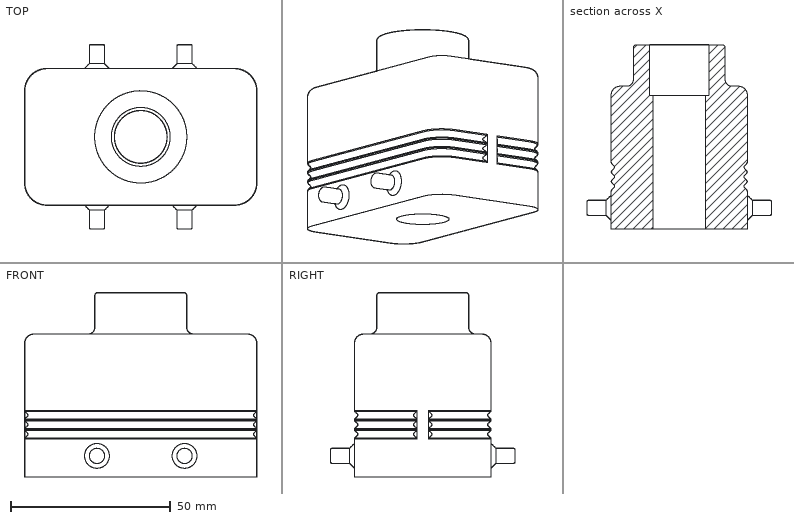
import math

import cadquery as cq

BODY_LENGTH = 73.0
BODY_WIDTH = 43.0
BODY_HEIGHT = 45.0
CORNER_RADIUS = 7.0
ROOF_EDGE_RADIUS = 3.0

TOTAL_HEIGHT = 58.0
COLLAR_HEIGHT = TOTAL_HEIGHT - BODY_HEIGHT
COLLAR_DIAMETER = 29.0
COLLAR_FOOT_RADIUS = 2.0
COLLAR_RIM_RADIUS = 1.0

UPPER_BORE_DIAMETER = 18.5
LOWER_BORE_DIAMETER = 16.5
UPPER_BORE_DEPTH = COLLAR_HEIGHT + ROOF_EDGE_RADIUS

GROOVE_COUNT = 3
GROOVE_PITCH = 3.0
GROOVE_ROUNDING = 0.5
GRIP_CENTRE_Z = 16.5
GRIP_GAP_WIDTH = 3.6
GROOVE_DEPTH = GROOVE_PITCH / 2 - 2 * GROOVE_ROUNDING * (math.sqrt(2) - 1)

PIN_DIAMETER = 4.8
PIN_SPACING = 27.5
PIN_CENTRE_Z = 6.7
PIN_TIP_Y = 29.0
PIN_TIP_RADIUS = 0.5
PIN_FOOT_DIAMETER = 7.8
PIN_FOOT_HEIGHT = (PIN_FOOT_DIAMETER - PIN_DIAMETER) / 2

OVERLAP = 1.0


def make_body():
    """Rounded block with a softened roof edge."""
    block = cq.Workplane("XY").box(BODY_LENGTH, BODY_WIDTH, BODY_HEIGHT, centered=(True, True, False))
    return block.edges("|Z").fillet(CORNER_RADIUS).faces(">Z").edges().fillet(ROOF_EDGE_RADIUS)


def make_collar():
    """Turned collar with a rounded rim and a concave foot blending into the roof."""
    radius = COLLAR_DIAMETER / 2
    foot_top = BODY_HEIGHT + COLLAR_FOOT_RADIUS
    rim_bottom = TOTAL_HEIGHT - COLLAR_RIM_RADIUS
    half_section = (
        cq.Workplane("XZ")
        .moveTo(0, BODY_HEIGHT - OVERLAP)
        .lineTo(radius + COLLAR_FOOT_RADIUS, BODY_HEIGHT - OVERLAP)
        .lineTo(radius + COLLAR_FOOT_RADIUS, BODY_HEIGHT)
        .radiusArc((radius, foot_top), COLLAR_FOOT_RADIUS)
        .lineTo(radius, rim_bottom)
        .radiusArc((radius - COLLAR_RIM_RADIUS, TOTAL_HEIGHT), -COLLAR_RIM_RADIUS)
        .lineTo(0, TOTAL_HEIGHT)
        .close()
    )
    return half_section.revolve(360, (0, 0, 0), (0, 1, 0))


def make_bore():
    """Through bore with a wider upper part."""
    lower = cq.Workplane("XY").circle(LOWER_BORE_DIAMETER / 2).extrude(TOTAL_HEIGHT)
    upper = (
        cq.Workplane("XY", origin=(0, 0, TOTAL_HEIGHT))
        .circle(UPPER_BORE_DIAMETER / 2)
        .extrude(-UPPER_BORE_DEPTH)
    )
    return lower.union(upper)


def make_groove(centre_z):
    """Ring of groove material running around the body, centred at height centre_z."""
    arc_rise = GROOVE_ROUNDING * math.sin(math.radians(45))
    arc_depth = GROOVE_ROUNDING * (1 - math.cos(math.radians(45)))
    face_y = -BODY_WIDTH / 2
    root_y = face_y + GROOVE_DEPTH
    outer_y = face_y - OVERLAP
    top_z = centre_z + GROOVE_PITCH / 2
    bottom_z = centre_z - GROOVE_PITCH / 2
    section = (
        cq.Workplane("YZ")
        .moveTo(outer_y, bottom_z)
        .lineTo(face_y, bottom_z)
        .radiusArc((face_y + arc_depth, bottom_z + arc_rise), -GROOVE_ROUNDING)
        .lineTo(root_y - arc_depth, centre_z - arc_rise)
        .radiusArc((root_y - arc_depth, centre_z + arc_rise), -GROOVE_ROUNDING)
        .lineTo(face_y + arc_depth, top_z - arc_rise)
        .radiusArc((face_y, top_z), -GROOVE_ROUNDING)
        .lineTo(outer_y, top_z)
        .close()
    )
    half_x = BODY_LENGTH / 2
    half_y = BODY_WIDTH / 2
    flat_x = half_x - CORNER_RADIUS
    flat_y = half_y - CORNER_RADIUS
    path = (
        cq.Workplane("XY", origin=(0, 0, centre_z))
        .moveTo(0, -half_y)
        .lineTo(flat_x, -half_y)
        .radiusArc((half_x, -flat_y), -CORNER_RADIUS)
        .lineTo(half_x, flat_y)
        .radiusArc((flat_x, half_y), -CORNER_RADIUS)
        .lineTo(-flat_x, half_y)
        .radiusArc((-half_x, flat_y), -CORNER_RADIUS)
        .lineTo(-half_x, -flat_y)
        .radiusArc((-flat_x, -half_y), -CORNER_RADIUS)
        .close()
    )
    return section.sweep(path)


def make_grip_gap(side):
    """Smooth bar at one end of the body where the grooves stop with 45 degree end faces."""
    face_x = side * BODY_LENGTH / 2
    inner_depth = GROOVE_DEPTH + OVERLAP
    inner_x = face_x - side * inner_depth
    half_gap = GRIP_GAP_WIDTH / 2
    half_root = half_gap + inner_depth
    band_height = GROOVE_COUNT * GROOVE_PITCH
    return (
        cq.Workplane("XY", origin=(0, 0, GRIP_CENTRE_Z - band_height / 2))
        .polyline([(face_x, -half_gap), (face_x, half_gap), (inner_x, half_root), (inner_x, -half_root)])
        .close()
        .extrude(band_height)
    )


def make_pin(x, direction):
    """Locking pin with a conical foot and a rounded tip, pointing along direction * Y."""
    foot_y = BODY_WIDTH / 2
    root_y = foot_y - OVERLAP
    pin_radius = PIN_DIAMETER / 2
    foot_radius = PIN_FOOT_DIAMETER / 2
    half_section = (
        cq.Workplane("XY")
        .moveTo(0, root_y)
        .lineTo(foot_radius, root_y)
        .lineTo(foot_radius, foot_y)
        .lineTo(pin_radius, foot_y + PIN_FOOT_HEIGHT)
        .lineTo(pin_radius, PIN_TIP_Y - PIN_TIP_RADIUS)
        .radiusArc((pin_radius - PIN_TIP_RADIUS, PIN_TIP_Y), -PIN_TIP_RADIUS)
        .lineTo(0, PIN_TIP_Y)
        .close()
    )
    pin = half_section.revolve(360, (0, 0, 0), (0, 1, 0))
    if direction < 0:
        pin = pin.mirror("XZ")
    return pin.translate((x, 0, PIN_CENTRE_Z))


result = make_body()

for index in range(GROOVE_COUNT):
    groove_z = GRIP_CENTRE_Z + (index - (GROOVE_COUNT - 1) / 2) * GROOVE_PITCH
    result = result.cut(make_groove(groove_z))

for end in (-1, 1):
    result = result.union(make_grip_gap(end))

for pin_direction in (-1, 1):
    for pin_x in (-PIN_SPACING / 2, PIN_SPACING / 2):
        result = result.union(make_pin(pin_x, pin_direction))

result = result.union(make_collar()).cut(make_bore())